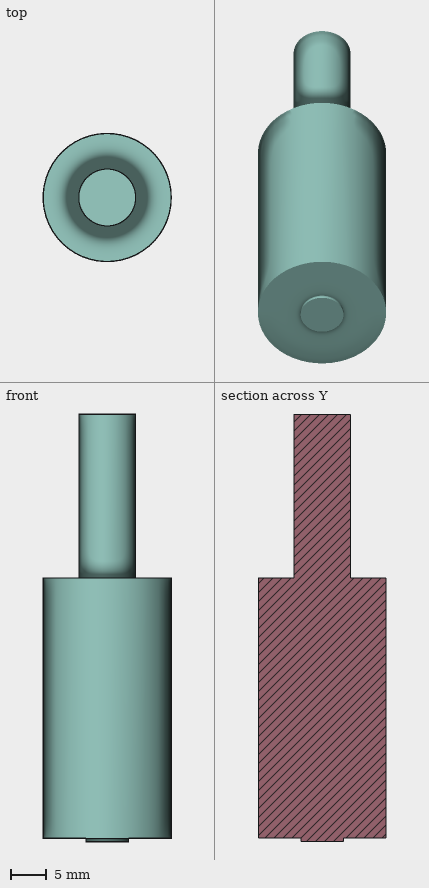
import cadquery as cq

total_length = 60.0
shaft_length = 23.0
boss_length = 0.5
body_length = total_length - shaft_length - boss_length

boss_diameter = 6.0
body_diameter = 18.0
shaft_diameter = 8.0


def cylinder(diameter, length, base_z):
    """Solid cylinder on the Z axis, rising from base_z."""
    return cq.Workplane("XY").workplane(offset=base_z).circle(diameter / 2).extrude(length)


boss = cylinder(boss_diameter, boss_length, 0)
body = cylinder(body_diameter, body_length, boss_length)
shaft = cylinder(shaft_diameter, shaft_length, boss_length + body_length)

result = boss.union(body).union(shaft)